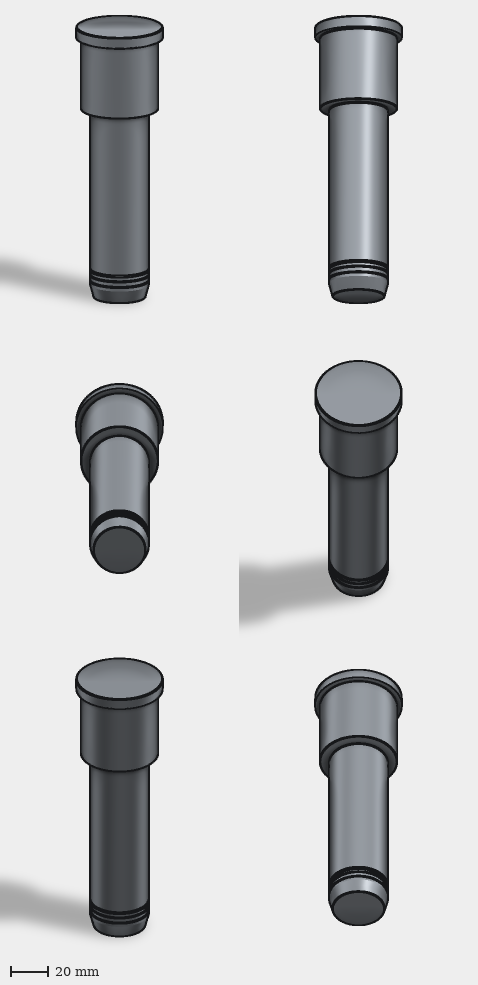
import cadquery as cq

total_length = 151.0
head_radius = 47.0 / 2
head_thickness = 6.0
head_chamfer = 0.6
collar_radius = 21.0
collar_bottom = 105.0
collar_chamfer = 0.5
shank_radius = 16.0

relief_depth = 0.5
head_relief_height = 0.5
collar_relief_height = 0.9

tip_height = 7.2
tip_radius = 14.2
tip_chamfer = 0.5

groove_depth = 0.5
narrow_groove_width = 0.9
narrow_groove_centers = (9.5, 12.7)
neck_bottom = 15.0
neck_top = 16.3
neck_chamfer = 0.5


def cylinder(radius, bottom, top):
    return cq.Workplane("XY").workplane(offset=bottom).circle(radius).extrude(top - bottom)


def cut_ring(body, outer_radius, depth, bottom, top):
    """Remove a square-sided ring of the given depth from a cylindrical surface."""
    ring = cylinder(outer_radius, bottom, top).cut(cylinder(outer_radius - depth, bottom, top))
    return body.cut(ring)


def cut_v_groove(body, outer_radius, depth, width, center):
    """Cut a V-shaped ring groove into a cylindrical surface, centred at the given height."""
    profile = [
        (outer_radius, center - width / 2),
        (outer_radius - depth, center),
        (outer_radius, center + width / 2),
    ]
    groove = cq.Workplane("XZ").polyline(profile).close().revolve(360, (0, 0, 0), (0, 1, 0))
    return body.cut(groove)


def make_head():
    head = cylinder(head_radius, total_length - head_thickness, total_length)
    return head.faces(">Z").edges().chamfer(head_chamfer)


def make_collar():
    head_underside = total_length - head_thickness
    head_relief_bottom = head_underside - head_relief_height
    collar = cylinder(collar_radius, collar_bottom, head_relief_bottom)
    collar = collar.edges().chamfer(collar_chamfer)
    relief = cylinder(collar_radius - relief_depth, head_relief_bottom, head_underside)
    return collar.union(relief)


def make_shank():
    upper = cylinder(shank_radius, neck_top - neck_chamfer, collar_bottom)
    upper = upper.faces("<Z").edges().chamfer(neck_chamfer)
    upper = cut_ring(upper, shank_radius, relief_depth, collar_bottom - collar_relief_height, collar_bottom)

    neck = cylinder(shank_radius - groove_depth, neck_bottom, neck_top)
    lower = cylinder(shank_radius, tip_height, neck_bottom)
    for center in narrow_groove_centers:
        lower = cut_v_groove(lower, shank_radius, groove_depth, narrow_groove_width, center)
    return upper.union(neck).union(lower)


def make_tip():
    profile = [
        (0, 0),
        (tip_radius - tip_chamfer, 0),
        (tip_radius, tip_chamfer),
        (shank_radius, tip_height),
        (0, tip_height),
    ]
    return cq.Workplane("XZ").polyline(profile).close().revolve(360, (0, 0, 0), (0, 1, 0))


result = make_head().union(make_collar()).union(make_shank()).union(make_tip())